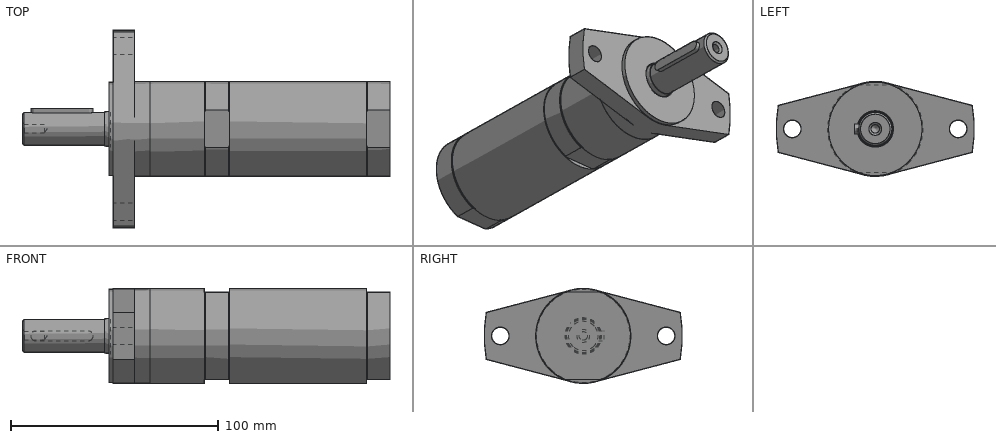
import cadquery as cq
import math

shoulder_start = 39.5
shoulder_full = 40.6
pilot_start = 41.7
recess_floor = 42.6
flange_start = 43.8
flange_end = 54.1
housing_start = 61.6
waist_start = 87.9
waist_end = 100.0
cap_start = 166.1
total_length = 177.5

shaft_diameter = 16.0
shoulder_nose_diameter = 16.5
shoulder_diameter = 16.9
shaft_recess_diameter = 17.5
pilot_diameter = 45.0
neck_diameter = 45.8
housing_diameter = 46.0

shaft_chamfer = 0.9
centre_hole_diameter = 4.0
centre_hole_mouth = 6.2
centre_hole_depth = 10.6
drill_point_angle = 118.0

key_start = 4.0
key_length = 30.0
key_width = 5.0
key_top = 10.0
key_bottom = 5.0

flange_width = 95.7
flange_corner_y = 46.9
flange_corner_z = 11.4
bolt_hole_diameter = 8.3
bolt_hole_spacing = 80.0

across_flats = 42.2

bevel_length = 0.5
bevel_depth = 0.4


def cylinder(start, end, diameter):
    """Solid cylinder on the X axis between two stations."""
    return cq.Workplane("YZ").workplane(offset=start).circle(diameter / 2).extrude(end - start)


def cone(start, end, start_diameter, end_diameter):
    """Solid truncated cone (or full cone) on the X axis between two stations."""
    outline = [(start, 0), (start, start_diameter / 2), (end, end_diameter / 2)]
    if end_diameter > 0:
        outline.append((end, 0))
    return cq.Workplane("XY").polyline(outline).close().revolve(360, (0, 0, 0), (1, 0, 0))


def flatted_cylinder(start, end):
    """Housing-sized cylinder with flats facing +Z and -Z and a small bevel at its start."""
    flats = (
        cq.Workplane("XY")
        .box(end - start, housing_diameter, across_flats)
        .translate(((start + end) / 2, 0, 0))
    )
    bevel_end = start + bevel_length
    body = cone(start, bevel_end, housing_diameter - 2 * bevel_depth, housing_diameter)
    return body.union(cylinder(bevel_end, end, housing_diameter)).intersect(flats)


def make_shaft():
    """Chamfered shaft with a bevelled shoulder that reaches the floor of the pilot recess."""
    nose_diameter = shaft_diameter - 2 * shaft_chamfer
    shaft = cone(0, shaft_chamfer, nose_diameter, shaft_diameter)
    shaft = shaft.union(cylinder(shaft_chamfer, recess_floor, shaft_diameter))
    shaft = shaft.union(cone(shoulder_start, shoulder_full, shoulder_nose_diameter, shoulder_diameter))
    return shaft.union(cylinder(shoulder_full, recess_floor, shoulder_diameter))


def make_centre_hole():
    """Countersunk blind hole with a drill point in the free end of the shaft."""
    mouth_depth = (centre_hole_mouth - centre_hole_diameter) / 2
    point_length = centre_hole_diameter / 2 / math.tan(math.radians(drill_point_angle / 2))
    point_end = centre_hole_depth + point_length
    hole = cone(0, mouth_depth, centre_hole_mouth, centre_hole_diameter)
    hole = hole.union(cylinder(mouth_depth, centre_hole_depth, centre_hole_diameter))
    return hole.union(cone(centre_hole_depth, point_end, centre_hole_diameter, 0))


def make_key():
    """Round-ended key, sunk into the shaft and standing proud of it toward +Y."""
    return (
        cq.Workplane("XZ", origin=(key_start + key_length / 2, key_bottom, 0))
        .slot2D(key_length, key_width)
        .extrude(-(key_top - key_bottom))
    )


def make_flange():
    """Plate with bowed ends whose straight sides run tangent to the neck."""
    neck_radius = neck_diameter / 2
    corner_distance = math.hypot(flange_corner_y, flange_corner_z)
    corner_angle = math.atan2(flange_corner_z, flange_corner_y)
    tangent_angle = corner_angle + math.acos(neck_radius / corner_distance)
    tangent_y = neck_radius * math.cos(tangent_angle)
    tangent_z = neck_radius * math.sin(tangent_angle)
    plate = (
        cq.Workplane("YZ", origin=(flange_start, 0, 0))
        .moveTo(flange_corner_y, -flange_corner_z)
        .threePointArc((flange_width / 2, 0), (flange_corner_y, flange_corner_z))
        .lineTo(tangent_y, tangent_z)
        .threePointArc((0, neck_radius), (-tangent_y, tangent_z))
        .lineTo(-flange_corner_y, flange_corner_z)
        .threePointArc((-flange_width / 2, 0), (-flange_corner_y, -flange_corner_z))
        .lineTo(-tangent_y, -tangent_z)
        .threePointArc((0, -neck_radius), (tangent_y, -tangent_z))
        .close()
        .extrude(flange_end - flange_start)
    )
    bolt_holes = (
        cq.Workplane("YZ", origin=(flange_start, 0, 0))
        .pushPoints([(-bolt_hole_spacing / 2, 0), (bolt_hole_spacing / 2, 0)])
        .circle(bolt_hole_diameter / 2)
        .extrude(flange_end - flange_start)
    )
    return plate.cut(bolt_holes)


def make_housing():
    """Stepped body with a shallow recess around the shaft where it leaves the pilot face."""
    housing = cylinder(pilot_start, flange_start, pilot_diameter)
    housing = housing.union(cylinder(flange_start, housing_start, neck_diameter))
    housing = housing.union(cylinder(housing_start, waist_start, housing_diameter))
    waist = flatted_cylinder(waist_start, waist_end)
    reversed_waist = waist.mirror("YZ", ((waist_start + waist_end) / 2, 0, 0))
    housing = housing.union(waist.intersect(reversed_waist))
    housing = housing.union(cylinder(waist_end, cap_start, housing_diameter))
    housing = housing.union(flatted_cylinder(cap_start, total_length))
    return housing.cut(cylinder(pilot_start, recess_floor, shaft_recess_diameter))


result = make_shaft().union(make_key()).cut(make_centre_hole())
result = result.union(make_housing()).union(make_flange())